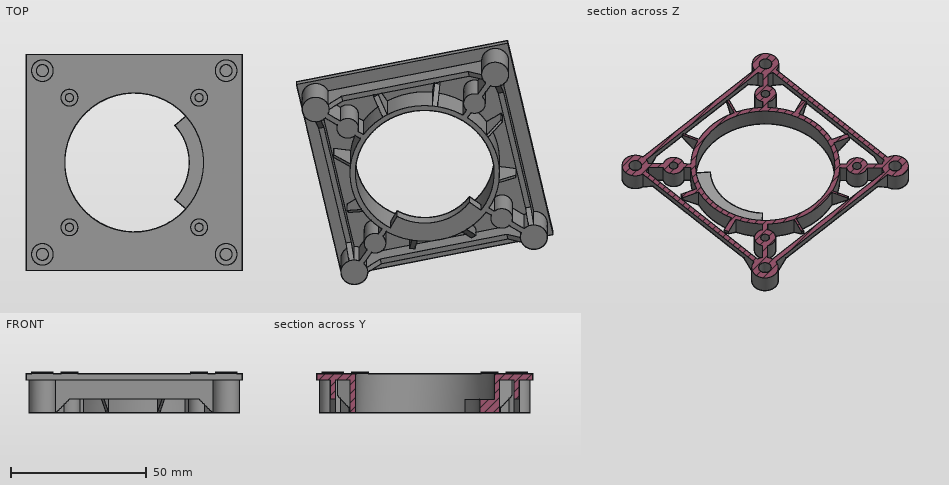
import cadquery as cq
import math

side = 80.0
total_height = 15.0
plate_thickness = 2.5
pad_height = 0.5
plate_top = total_height - pad_height
plate_bottom = plate_top - plate_thickness

corner_offset = 34.0
corner_post_diameter = 10.0
corner_pad_diameter = 8.0
corner_hole_diameter = 4.5
screw_offset = 24.0
screw_post_diameter = 8.0
screw_pad_diameter = 6.2
screw_hole_diameter = 3.0

hole_floor = 2.0

wall = 2.0
bore_radius = 25.7
ring_radius = bore_radius + wall

ledge_inner_radius = 20.3
ledge_height = 5.0
ledge_end_angle = 40.0
ledge_end_offset = 0.9

skirt_relief = 5.0
skirt_foot = corner_offset - corner_post_diameter / 2
skirt_outer = corner_offset + wall / 2
skirt_inner = skirt_outer - wall

rib_angle = 20.0
half_rib = wall / 2
rib_inner_radius = (bore_radius + ring_radius) / 2


def square_pattern(offset):
    """Four points at the corners of a centred square."""
    return [(x, y) for x in (-offset, offset) for y in (-offset, offset)]


def cylinders(points, diameter, bottom, top):
    """Upright cylinders at the given points, between two heights."""
    base = cq.Workplane("XY").workplane(offset=bottom)
    return base.pushPoints(points).circle(diameter / 2).extrude(top - bottom)


def skirt():
    """Wall below the -Y edge, with sloped ends running down to the posts."""
    relief_end = skirt_foot - skirt_relief
    return (
        cq.Workplane("XZ", origin=(0, -skirt_inner, 0))
        .moveTo(-corner_offset, plate_bottom)
        .lineTo(-corner_offset, 0)
        .lineTo(-skirt_foot, 0)
        .lineTo(-relief_end, skirt_relief)
        .lineTo(relief_end, skirt_relief)
        .lineTo(skirt_foot, 0)
        .lineTo(corner_offset, 0)
        .lineTo(corner_offset, plate_bottom)
        .close()
        .extrude(wall)
    )


def radial_rib(angle, clockwise_side, other_side):
    """Upright rib from the ring to the skirt, with a 45 degree lower edge and its own width on each side."""
    reach = corner_offset
    return (
        cq.Workplane("XZ", origin=(0, other_side, 0))
        .moveTo(rib_inner_radius, plate_bottom)
        .lineTo(rib_inner_radius, 0)
        .lineTo(ring_radius, 0)
        .lineTo(reach, reach - ring_radius)
        .lineTo(reach, plate_bottom)
        .close()
        .extrude(clockwise_side + other_side)
        .rotate((0, 0, 0), (0, 0, 1), angle)
    )


def diagonal_rib(angle):
    """Full-height rib joining the ring, a screw post and a corner post."""
    length = corner_offset * math.sqrt(2) - rib_inner_radius
    return (
        cq.Workplane("XY")
        .center(rib_inner_radius + length / 2, 0)
        .rect(length, wall)
        .extrude(plate_bottom)
        .rotate((0, 0, 0), (0, 0, 1), angle)
    )


def ledge_corner(radius, side_sign):
    """End of the ledge at a radius, on a straight edge running parallel to the end-angle direction."""
    angle = math.radians(ledge_end_angle) + math.asin(ledge_end_offset / radius)
    return (radius * math.cos(angle), side_sign * radius * math.sin(angle))


def ledge():
    """Arc-shaped step along the bottom of the bore, centred on +X and rooted in the ring."""
    inner = ledge_inner_radius
    outer = rib_inner_radius
    return (
        cq.Workplane("XY")
        .moveTo(*ledge_corner(inner, -1))
        .lineTo(*ledge_corner(outer, -1))
        .threePointArc((outer, 0), ledge_corner(outer, 1))
        .lineTo(*ledge_corner(inner, 1))
        .threePointArc((inner, 0), ledge_corner(inner, -1))
        .close()
        .extrude(ledge_height)
    )


corners = square_pattern(corner_offset)
screws = square_pattern(screw_offset)

body = cq.Workplane("XY").workplane(offset=plate_bottom).rect(side, side).extrude(plate_thickness)
body = body.union(cylinders([(0, 0)], 2 * ring_radius, 0, plate_bottom))
body = body.union(cylinders(corners, corner_post_diameter, 0, plate_bottom))
body = body.union(cylinders(screws, screw_post_diameter, 0, plate_bottom))
body = body.union(cylinders(corners, corner_pad_diameter, plate_top, total_height))
body = body.union(cylinders(screws, screw_pad_diameter, plate_top, total_height))

for turn in range(0, 360, 90):
    body = body.union(skirt().rotate((0, 0, 0), (0, 0, 1), turn))
    body = body.union(diagonal_rib(turn + 45))

for lean in (-rib_angle, rib_angle):
    for turn in (0, 180):
        body = body.union(radial_rib(turn + lean, half_rib, half_rib))
    for turn in (90, 270):
        body = body.union(radial_rib(turn + lean, half_rib, 0))

body = body.cut(cylinders([(0, 0)], 2 * bore_radius, 0, total_height))
body = body.union(ledge())
body = body.cut(cylinders(corners, corner_hole_diameter, hole_floor, total_height))
result = body.cut(cylinders(screws, screw_hole_diameter, hole_floor, total_height))